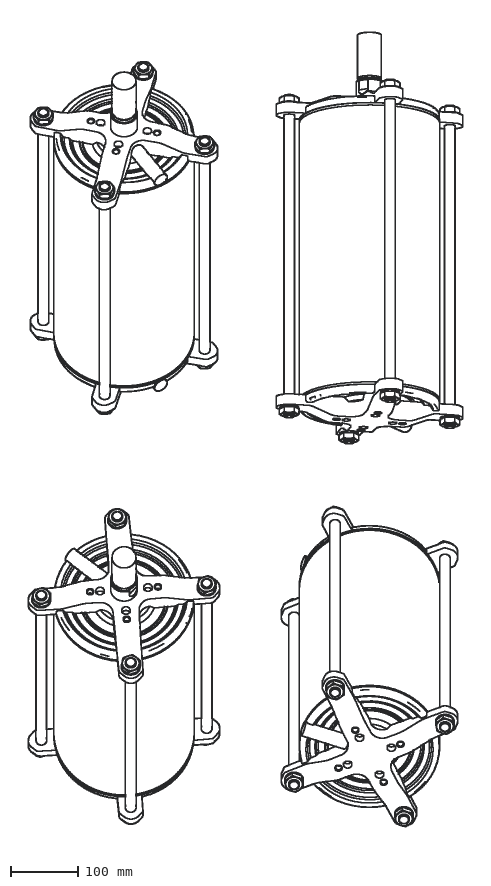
import cadquery as cq
import math


overall_height = 597.0
half_rods = 247.5
half_frame = 247.0
half_pads = 233.5
half_arms = 217.0
shaft_top = overall_height - half_rods

casing_diameter = 210.0
casing_bore = 200.0
cap_diameter = 208.0
seat_depth = 3.5

cap_height = 11.5
cap_edge_radius = 3.0
rim_inner_diameter = 190.0
rim_wall_foot_diameter = 184.5
rim_wall_foot_height = 6.5
ledge_outer_diameter = 179.0
ledge_inner_diameter = 163.0
ledge_height = 4.0
ledge_foot_diameter = 159.0
ledge_foot_height = 1.0
floor_diameter = 153.5
groove_outer_diameter = 133.5
groove_inner_diameter = 123.0
groove_depth = 1.0
groove_wall_run = 1.0
boss_base_diameter = 95.5
boss_top_diameter = 83.5
boss_height = 6.5

rod_spacing = 175.0
rod_offset = rod_spacing / 2
frame_reach = 105.5
arm_half_width_at_root = 19.5
arm_half_width_at_shoulder = 18.0
arm_tip_radius = 15.0
arm_shoulder_radius = 5.5
notch_radius = 19.0
slope_start = 60.0
slope_start_radius = 31.0
slope_end = 95.0
slope_end_radius = 21.5

tapped_hole_diameter = 8.5
tapped_hole_mouth = 11.0
tapped_hole_place = 51.0
tapped_hole_depth = 12.0
drill_point_angle = 118.0
plain_hole_diameter = 12.5
plain_hole_place = 36.0
plain_hole_depth = 12.0

rod_diameter = 16.0
rod_tip_bevel = 1.0
washer_diameter = 28.0
washer_thickness = 2.5
nut_corner_width = 30.0
nut_height = 9.0
nut_face_diameter = 25.0
nut_bevel_angle = 30.0

cable_diameter = 22.0
cable_start = 36.0

shaft_diameter = 36.0
shaft_seat_diameter = 40.0
groove_floor_diameter = 30.5
shaft_groove_top = shaft_top - 67.0
shaft_groove_width = 6.0
shaft_groove_slope = 2.0
keyway_width = 16.0
keyway_floor = 17.0
keyway_length = 14.5
keyway_runout_length = 8.5
keyway_runout_depth = 3.5

ARM_ANGLES = [45, 135, 225, 315]
ROD_PLACES = [(x, y) for x in (-rod_offset, rod_offset) for y in (-rod_offset, rod_offset)]


def disc(diameter, bottom, top):
    return cq.Workplane("XY").workplane(offset=bottom).circle(diameter / 2).extrude(top - bottom)


def turned(points):
    """Solid turned about Z from (diameter, level) points."""
    outline = [(diameter / 2, level) for diameter, level in points]
    return cq.Workplane("XZ").polyline(outline).close().revolve(360, (0, 0, 0), (0, 1, 0))


def turn_about_axis(shape, angle):
    return shape.rotate((0, 0, 0), (0, 0, 1), angle)


def edges_at(shape, x):
    """Edges of a shape that lie in the plane at the given X."""
    margin = 0.05
    return shape.edges(cq.selectors.BoxSelector((x - margin, -591, -591), (x + margin, 591, 591)))


def casing_tube():
    seat = half_arms - seat_depth
    tube = disc(casing_diameter, -half_arms, half_arms).cut(disc(casing_bore, -half_arms, half_arms))
    tube = tube.cut(disc(cap_diameter, seat, half_arms))
    return tube.cut(disc(cap_diameter, -half_arms, -seat))


def end_cap():
    floor = half_arms
    ledge = floor + ledge_height
    rim = floor + cap_height
    groove_floor = floor - groove_depth
    cap = disc(cap_diameter, floor - seat_depth, rim).faces(">Z").edges().fillet(cap_edge_radius)
    recess = turned([
        (0, floor + boss_height),
        (boss_top_diameter, floor + boss_height),
        (boss_base_diameter, floor),
        (groove_inner_diameter, floor),
        (groove_inner_diameter + 2 * groove_wall_run, groove_floor),
        (groove_outer_diameter - 2 * groove_wall_run, groove_floor),
        (groove_outer_diameter, floor),
        (floor_diameter, floor),
        (ledge_foot_diameter, floor + ledge_foot_height),
        (ledge_inner_diameter, ledge),
        (ledge_outer_diameter, ledge),
        (rim_wall_foot_diameter, floor + rim_wall_foot_height),
        (rim_inner_diameter, rim),
        (0, rim),
    ])
    return cap.cut(recess)


def arm_plan():
    """One tapering arm along +X, ending in a rounded right angle."""
    tip = math.sqrt(2) * frame_reach
    shoulder = tip - arm_half_width_at_shoulder
    arm = (
        cq.Workplane("XY")
        .workplane(offset=half_arms)
        .polyline([
            (0, 0),
            (arm_half_width_at_root, -arm_half_width_at_root),
            (shoulder, -arm_half_width_at_shoulder),
            (tip, 0),
            (shoulder, arm_half_width_at_shoulder),
            (arm_half_width_at_root, arm_half_width_at_root),
        ])
        .close()
        .extrude(half_frame - half_arms)
    )
    arm = edges_at(arm, shoulder).edges("|Z").fillet(arm_shoulder_radius)
    return edges_at(arm, tip).edges("|Z").fillet(arm_tip_radius)


def arm_side_shape():
    """One arm's height along +X: flat hub, slope, then the low arm end."""
    tip = math.sqrt(2) * frame_reach
    side = (
        cq.Workplane("XZ")
        .polyline([
            (0, half_arms),
            (tip, half_arms),
            (tip, half_pads),
            (slope_end, half_pads),
            (slope_start, half_frame),
            (0, half_frame),
        ])
        .close()
        .extrude(frame_reach, both=True)
    )
    side = edges_at(side, slope_start).fillet(slope_start_radius)
    return edges_at(side, slope_end).fillet(slope_end_radius)


def arm_cross():
    arm = arm_plan().intersect(arm_side_shape())
    cross = turn_about_axis(arm, ARM_ANGLES[0])
    for angle in ARM_ANGLES[1:]:
        cross = cross.union(turn_about_axis(arm, angle))
    corner = math.sqrt(2) * arm_half_width_at_root + 0.5
    notches = cq.selectors.BoxSelector((-corner, -corner, 0), (corner, corner, shaft_top))
    return cross.edges("|Z").edges(notches).fillet(notch_radius)


def arm_holes():
    mouth_depth = (tapped_hole_mouth - tapped_hole_diameter) / 2
    point = tapped_hole_diameter / 2 / math.tan(math.radians(drill_point_angle / 2))
    floor = half_frame - tapped_hole_depth
    tapped = turned([
        (0, half_frame),
        (tapped_hole_mouth, half_frame),
        (tapped_hole_diameter, half_frame - mouth_depth),
        (tapped_hole_diameter, floor),
        (0, floor - point),
    ])
    plain = disc(plain_hole_diameter, half_frame - plain_hole_depth, half_frame)
    return tapped.translate((tapped_hole_place, 0, 0)).union(plain.translate((plain_hole_place, 0, 0)))


def nut_and_washer():
    seat = half_pads + washer_thickness
    top = seat + nut_height
    washer = disc(washer_diameter, half_pads, seat)
    nut = cq.Workplane("XY").workplane(offset=seat).polygon(6, nut_corner_width).extrude(nut_height)
    bevel_height = (nut_corner_width - nut_face_diameter) / 2 * math.tan(math.radians(nut_bevel_angle))
    bevelled = turned([
        (0, seat),
        (nut_corner_width, seat),
        (nut_corner_width, top - bevel_height),
        (nut_face_diameter, top),
        (0, top),
    ])
    return washer.union(nut.intersect(bevelled))


def cable_stub():
    stub = cq.Workplane("YZ").workplane(offset=cable_start).center(0, half_arms + cable_diameter / 2)
    return stub.circle(cable_diameter / 2).extrude(frame_reach - cable_start)


def end_frame():
    frame = arm_cross().union(end_cap()).union(cable_stub())
    for angle in ARM_ANGLES:
        frame = frame.cut(turn_about_axis(arm_holes(), angle))
    for x, y in ROD_PLACES:
        frame = frame.union(nut_and_washer().translate((x, y, 0)))
    return frame


def output_shaft():
    seat_top = shaft_groove_top - shaft_groove_width
    shaft = turned([
        (0, half_frame),
        (shaft_seat_diameter, half_frame),
        (shaft_seat_diameter, seat_top),
        (shaft_diameter, seat_top),
        (groove_floor_diameter, seat_top + shaft_groove_slope),
        (groove_floor_diameter, shaft_groove_top - shaft_groove_slope),
        (shaft_diameter, shaft_groove_top),
        (shaft_diameter, shaft_top),
        (0, shaft_top),
    ])
    floor_end = seat_top - keyway_length
    outside = keyway_floor + 2 * keyway_runout_depth
    keyway = (
        cq.Workplane("XZ")
        .polyline([
            (-keyway_floor, seat_top),
            (-keyway_floor, floor_end),
            (-outside, floor_end - 2 * keyway_runout_length),
            (-outside, seat_top),
        ])
        .close()
        .extrude(keyway_width / 2, both=True)
    )
    return shaft.cut(keyway)


def tie_rod():
    return disc(rod_diameter, -half_rods, half_rods).faces("<Z or >Z").edges().chamfer(rod_tip_bevel)


def motor_frame():
    upper = end_frame()
    lower = upper.mirror("XY")
    frame = upper.union(output_shaft())
    for x, y in ROD_PLACES:
        frame = frame.union(tie_rod().translate((x, y, 0)))
    return frame.union(lower)


casing = casing_tube()
frame = motor_frame()
result = cq.Compound.makeCompound([casing.val(), frame.val()])